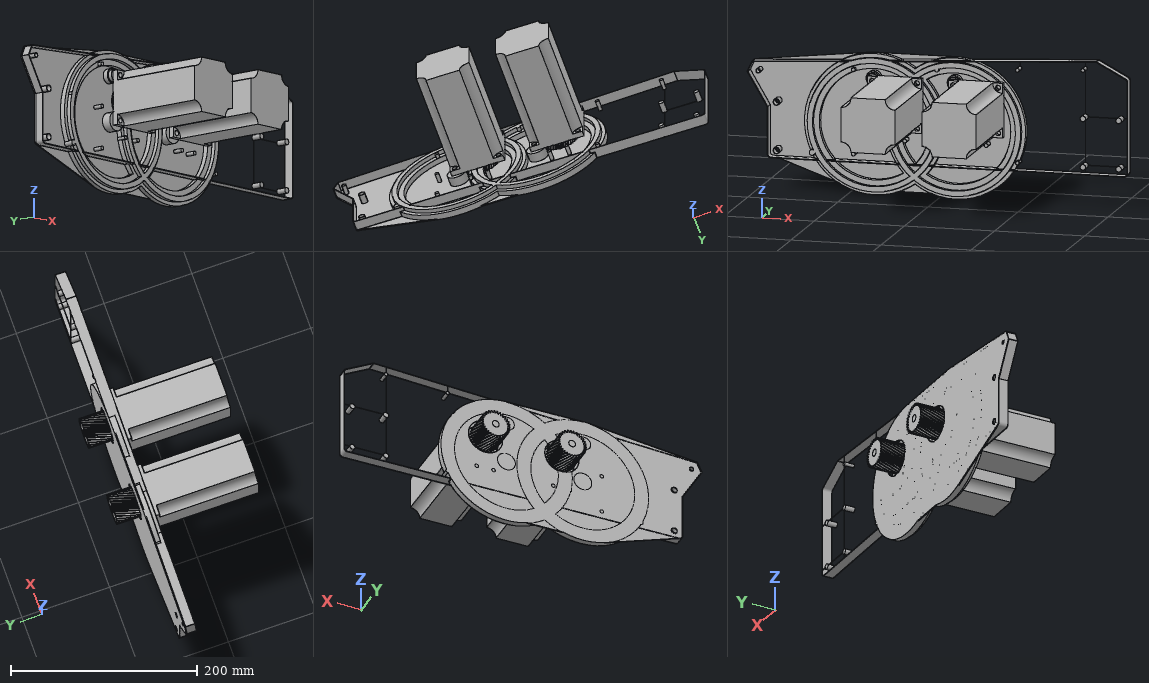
import cadquery as cq
import math


TRAY_DEPTH = 12.0
FLOOR_THICK = 1.3
RIM_THICK = 1.0
TRAY_LEFT = -140.5
TRAY_RIGHT = TRAY_LEFT + 422.5
TRAY_BOTTOM = -42.3
TRAY_TOP = 83.2
STEM_LEFT = -118.0
NOSE_START_Z = 13.5
NOSE_LOW = (TRAY_LEFT, 51.5)
NOSE_HIGH = (-135.0, 63.5)
PEAK_X = 247.0
RIGHT_SHOULDER_Z = 64.5
CORNER_RADIUS = 4.2

PIVOT_PITCH = 90.0
PIVOTS = [(0, 0), (PIVOT_PITCH, 0)]
BACK_LAYER = 7.0
BACK_RING_OUTER = 77.8
BACK_RING_INNER = 61.3
FRONT_RING_OUTER = 73.5
FRONT_RING_INNER = 67.5

FLOOR_BOTTOM_LEFT = (STEM_LEFT + CORNER_RADIUS, TRAY_BOTTOM)
FLOOR_BOTTOM = -74.0

PIVOT_BOSS_DIA = 21.0
GUIDE_BOSS_DIA = 16.0
GUIDE_BOSS_TIP_DIA = 13.0
GUIDE_BOSS_OFFSET = (-1.3, 50.3)

POST_DIA = 6.5
SMALL_POST_DIA = 4.2
POST_ROWS = [-34.0, 19.5]
HOLE_COLUMN = -107.8
POST_COLUMNS = [-68.0, 232.5, 272.0]
NOSE_HOLE = (-128.0, 53.0)
SLEEVE_WALL = 0.5
SMALL_POST_ROWS = [-33.0, 13.0]
SMALL_POST_COLUMNS = [-22.5, 159.7]
LOW_POST_Z = -15.5
LOW_POST_COLUMNS = [15.2, 34.5, 105.2, 125.0]
UPPER_POSTS = [(-22.5, 59.5), (70.0, 64.2), (159.7, 69.0), (232.5, 72.5)]
WEB_THICK = 0.5

MOTOR_SIZE = 60.0
MOTOR_LENGTH = 118.5
FLANGE_THICK = 6.0
MOUNT_HOLE_SPACING = 50.0
MOUNT_HOLE_DIA = 5.5
CORNER_CUT_RADIUS = 11.0
PILOT_DIA = 38.0
PILOT_HEIGHT = 1.5
PILOT_OPENING_DIA = 40.0
SHAFT_DIA = 8.0
MOTOR_CENTRES = [(x + MOUNT_HOLE_SPACING / 2, z + MOUNT_HOLE_SPACING / 2) for x, z in PIVOTS]

TEETH = 30
HELIX_ANGLE = 19.5
PINION_LENGTH = 30.0
PINION_END = 38.0
PINION_DIA = 34.0
PITCH_DIA = 31.5
ROOT_DIA = 29.0
TIP_SHARE = 0.25
ROOT_SHARE = 0.7


def plane_at(y):
    """Workplane facing the front, with local axes X and Z, at depth y."""
    return cq.Workplane("XZ", origin=(0, y, 0))


def disc(centre, diameter, y_front, y_back):
    return plane_at(y_back).center(*centre).circle(diameter / 2).extrude(y_back - y_front)


def ring(centre, outer_radius, inner_radius, y_front, y_back):
    outer = disc(centre, 2 * outer_radius, y_front, y_back)
    return outer.cut(disc(centre, 2 * inner_radius, y_front, y_back))


def bar(x_min, x_max, z_min, z_max, y_front, y_back):
    size = (x_max - x_min, y_back - y_front, z_max - z_min)
    return cq.Workplane("XY").box(*size, centered=False).translate((x_min, y_front, z_min))


def tangent_point(point, radius, side):
    """Where a line from point touches a circle about the origin; side +1 or -1 picks the line."""
    px, pz = point
    angle = math.atan2(pz, px) + side * math.acos(radius / math.hypot(px, pz))
    return radius * math.cos(angle), radius * math.sin(angle)


def make_outline_block():
    """Solid block with the outer shape of the rim."""
    outline = [
        (STEM_LEFT, TRAY_BOTTOM),
        (STEM_LEFT, NOSE_START_Z),
        NOSE_LOW,
        NOSE_HIGH,
        (PEAK_X, TRAY_TOP),
        (TRAY_RIGHT, RIGHT_SHOULDER_Z),
        (TRAY_RIGHT, TRAY_BOTTOM),
    ]
    block = plane_at(TRAY_DEPTH).polyline(outline).close().extrude(TRAY_DEPTH)
    for x, z in [(STEM_LEFT, TRAY_BOTTOM), (TRAY_RIGHT, TRAY_BOTTOM), (TRAY_RIGHT, RIGHT_SHOULDER_Z)]:
        corner = cq.selectors.NearestToPointSelector((x, TRAY_DEPTH / 2, z))
        block = block.edges(corner).fillet(CORNER_RADIUS)
    return block


def make_rim(block):
    inner = block.faces("<Y").wires().toPending().workplane().offset2D(-RIM_THICK)
    return block.cut(inner.extrude(-TRAY_DEPTH, combine=False))


def make_floor(block):
    """Back sheet under the nose and the rings; the right end of the tray stays open."""
    floor_front = TRAY_DEPTH - FLOOR_THICK
    outline = [
        (0, 0),
        tangent_point(NOSE_HIGH, BACK_RING_OUTER, -1),
        NOSE_HIGH,
        (STEM_LEFT, NOSE_START_Z),
        (STEM_LEFT, TRAY_BOTTOM + CORNER_RADIUS),
        FLOOR_BOTTOM_LEFT,
        tangent_point(FLOOR_BOTTOM_LEFT, BACK_RING_OUTER, 1),
    ]
    floor = plane_at(TRAY_DEPTH).polyline(outline).close().extrude(FLOOR_THICK)
    nose = bar(TRAY_LEFT, 0, TRAY_BOTTOM, TRAY_TOP, floor_front, TRAY_DEPTH).intersect(block)
    floor = floor.union(nose)
    floor = floor.union(bar(0, PIVOT_PITCH, FLOOR_BOTTOM, BACK_RING_OUTER, floor_front, TRAY_DEPTH))
    for pivot in PIVOTS:
        floor = floor.union(disc(pivot, 2 * BACK_RING_OUTER, floor_front, TRAY_DEPTH))
    return floor


def make_pivot_features(pivot):
    """Stepped ring around a pivot, with the pivot boss and the guide boss above it."""
    step = TRAY_DEPTH - BACK_LAYER
    guide = (pivot[0] + GUIDE_BOSS_OFFSET[0], pivot[1] + GUIDE_BOSS_OFFSET[1])
    features = [
        ring(pivot, BACK_RING_OUTER, BACK_RING_INNER, step, TRAY_DEPTH),
        ring(pivot, FRONT_RING_OUTER, FRONT_RING_INNER, 0, step),
        disc(pivot, PIVOT_BOSS_DIA, 0, TRAY_DEPTH),
        disc(guide, GUIDE_BOSS_DIA, step, TRAY_DEPTH),
        disc(guide, GUIDE_BOSS_TIP_DIA, 0, step),
    ]
    return features


def make_posts():
    large = [(x, z) for x in POST_COLUMNS for z in POST_ROWS]
    small = [(x, z) for x in SMALL_POST_COLUMNS for z in SMALL_POST_ROWS]
    small += [(x, LOW_POST_Z) for x in LOW_POST_COLUMNS]
    small += UPPER_POSTS
    posts = [disc(place, POST_DIA, 0, TRAY_DEPTH) for place in large]
    posts += [disc(place, SMALL_POST_DIA, 0, TRAY_DEPTH) for place in small]
    return posts


def make_webs(block):
    """Thin webs at the back that join the posts in the open end to the rim."""
    web_front = TRAY_DEPTH - WEB_THICK
    half = WEB_THICK / 2
    inner_column = POST_COLUMNS[1]
    upper_x, upper_z = UPPER_POSTS[2]
    webs = [
        bar(inner_column - half, inner_column + half, TRAY_BOTTOM, TRAY_TOP, web_front, TRAY_DEPTH),
        bar(upper_x - half, upper_x + half, upper_z, TRAY_TOP, web_front, TRAY_DEPTH),
    ]
    for z in POST_ROWS:
        webs.append(bar(inner_column, TRAY_RIGHT, z - half, z + half, web_front, TRAY_DEPTH))
    return [web.intersect(block) for web in webs]


def make_tray():
    block = make_outline_block()
    tray = make_floor(block).union(make_rim(block))
    parts = make_posts() + make_webs(block)
    for pivot in PIVOTS:
        parts += make_pivot_features(pivot)
    holes = [((HOLE_COLUMN, z), POST_DIA) for z in POST_ROWS]
    holes.append((NOSE_HOLE, SMALL_POST_DIA))
    for place, diameter in holes:
        parts.append(disc(place, diameter + 2 * SLEEVE_WALL, 0, TRAY_DEPTH))
    for part in parts:
        tray = tray.union(part)
    for place, diameter in holes:
        tray = tray.cut(disc(place, diameter, 0, TRAY_DEPTH))
    for centre in MOTOR_CENTRES:
        tray = tray.cut(disc(centre, PILOT_OPENING_DIA, 0, TRAY_DEPTH))
    return tray


def make_motor(centre):
    """Square flange, body with scooped corners, pilot, and a shaft that fills the pinion bore."""
    cx, cz = centre
    half = MOTOR_SIZE / 2
    motor = bar(cx - half, cx + half, cz - half, cz + half, -MOTOR_LENGTH, 0)
    for sx in (-1, 1):
        for sz in (-1, 1):
            corner = (cx + sx * half, cz + sz * half)
            hole = (cx + sx * MOUNT_HOLE_SPACING / 2, cz + sz * MOUNT_HOLE_SPACING / 2)
            motor = motor.cut(disc(corner, 2 * CORNER_CUT_RADIUS, -MOTOR_LENGTH, -FLANGE_THICK))
            motor = motor.cut(disc(hole, MOUNT_HOLE_DIA, -FLANGE_THICK, 0))
    motor = motor.union(disc(centre, PILOT_DIA, 0, PILOT_HEIGHT))
    return motor.union(disc(centre, SHAFT_DIA, 0, PINION_END))


def make_pinion(centre):
    """Helical pinion with straight-flanked teeth, bored for the motor shaft."""
    pitch_angle = 2 * math.pi / TEETH

    def polar(diameter, tooth_position):
        angle = tooth_position * pitch_angle
        return diameter / 2 * math.cos(angle), diameter / 2 * math.sin(angle)

    profile = plane_at(PINION_END).center(*centre).moveTo(*polar(ROOT_DIA, -ROOT_SHARE / 2))
    for tooth in range(TEETH):
        profile = profile.lineTo(*polar(PINION_DIA, tooth - TIP_SHARE / 2))
        profile = profile.threePointArc(polar(PINION_DIA, tooth), polar(PINION_DIA, tooth + TIP_SHARE / 2))
        profile = profile.lineTo(*polar(ROOT_DIA, tooth + ROOT_SHARE / 2))
        if tooth < TEETH - 1:
            profile = profile.lineTo(*polar(ROOT_DIA, tooth + 1 - ROOT_SHARE / 2))
    twist = math.degrees(PINION_LENGTH * math.tan(math.radians(HELIX_ANGLE)) / (PITCH_DIA / 2))
    pinion = profile.close().twistExtrude(PINION_LENGTH, twist)
    return pinion.cut(disc(centre, SHAFT_DIA, PINION_END - PINION_LENGTH, PINION_END))


tray = make_tray()
motors = [make_motor(centre) for centre in MOTOR_CENTRES]
pinions = [make_pinion(centre) for centre in MOTOR_CENTRES]

result = cq.Compound.makeCompound([tray.val(), *[body.val() for body in motors + pinions]])